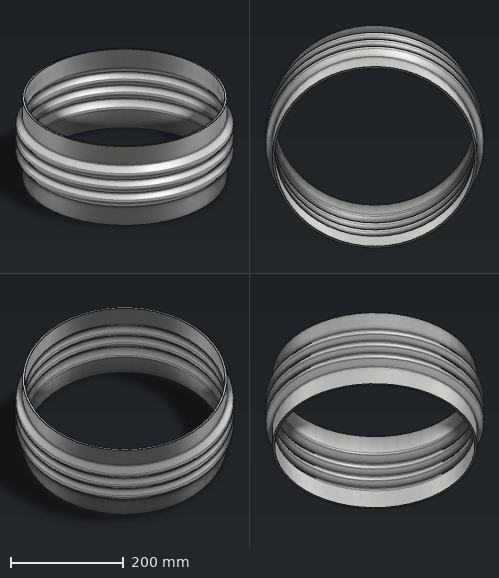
import cadquery as cq
import math

crest_diameter = 388.0
collar_outer_diameter = 363.0
collar_inner_diameter = 355.0
height = 160.0
pitch = 26.8
crest_count = 3
inside_bend_radius = 2.0
flank_angle = math.radians(45)

collar_outer_radius = collar_outer_diameter / 2
collar_inner_radius = collar_inner_diameter / 2
wall = collar_outer_radius - collar_inner_radius
outside_bend_radius = inside_bend_radius + wall
bend_sum = inside_bend_radius + outside_bend_radius
crest_center_radius = crest_diameter / 2 - outside_bend_radius
root_center_radius = collar_outer_radius + inside_bend_radius
top_crest_z = pitch * (crest_count - 1) / 2


def radial_step(axial_step):
    """Radial distance between a crest bend centre and the next bend centre along a flank."""
    return (bend_sum - axial_step * math.cos(flank_angle)) / math.sin(flank_angle)


valley_center_radius = crest_center_radius + radial_step(pitch / 2)
root_drop = root_center_radius - crest_center_radius
root_axial_step = (bend_sum - root_drop * math.sin(flank_angle)) / math.cos(flank_angle)
root_z = top_crest_z + root_axial_step


def bend_arc(center_radius, center_z, radius, facing, start_angle, end_angle):
    """Start, middle and end of an arc bulging outward (facing 1) or inward (facing -1)."""
    angles = (start_angle, (start_angle + end_angle) / 2, end_angle)
    return [
        (center_radius + facing * radius * math.cos(a), center_z + radius * math.sin(a))
        for a in angles
    ]


def wall_arcs(crest_radius, valley_radius):
    """Bend arcs of one wall surface, listed from bottom to top."""
    arcs = [bend_arc(root_center_radius, -root_z, valley_radius, -1, 0, flank_angle)]
    for i in range(crest_count):
        z = i * pitch - top_crest_z
        arcs.append(bend_arc(crest_center_radius, z, crest_radius, 1, -flank_angle, flank_angle))
        if i < crest_count - 1:
            valley_z = z + pitch / 2
            arcs.append(
                bend_arc(valley_center_radius, valley_z, valley_radius, -1, -flank_angle, flank_angle)
            )
    arcs.append(bend_arc(root_center_radius, root_z, valley_radius, -1, -flank_angle, 0))
    return arcs


outer_arcs = wall_arcs(outside_bend_radius, inside_bend_radius)
inner_arcs = wall_arcs(inside_bend_radius, outside_bend_radius)

section = cq.Workplane("XZ").moveTo(collar_outer_radius, -height / 2)
for start, middle, end in outer_arcs:
    section = section.lineTo(*start).threePointArc(middle, end)
section = section.lineTo(collar_outer_radius, height / 2).lineTo(collar_inner_radius, height / 2)
for start, middle, end in reversed(inner_arcs):
    section = section.lineTo(*end).threePointArc(middle, start)
section = section.lineTo(collar_inner_radius, -height / 2).close()

result = section.revolve(360, (0, 0, 0), (0, 1, 0))